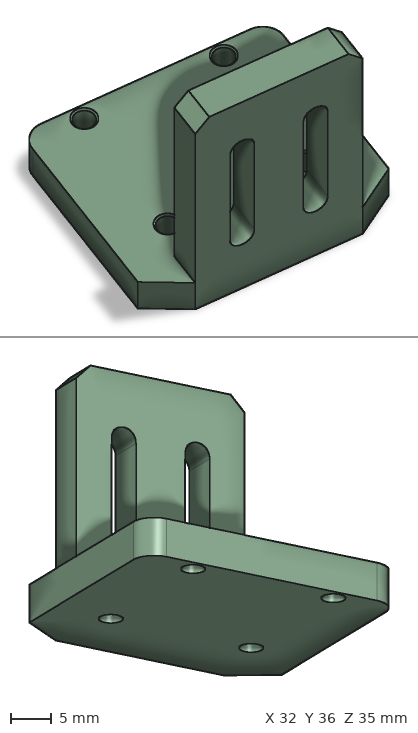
import cadquery as cq

base_length = 32.0
base_width = 36.0
thickness = 5.0
corner_radius = 3.0
corner_cut_x = 3.75

total_height = 35.0
wall_width = 24.0
wall_corner_chamfer = 2.0
corner_cut_y = (base_width - wall_width) / 2

hole_diameter = 3.0
hole_chamfer = 0.25
hole_edge_distance = 2.0
hole_pitch = 20.0

slot_width = 3.5
slot_length = 19.5
slot_spacing = 10.5
slot_center_z = 18.0


def make_base():
    """Plate with rounded left corners and bevelled right corners."""
    half_width = base_width / 2
    cut_start_x = base_length - corner_cut_x
    cut_end_y = half_width - corner_cut_y
    return (
        cq.Workplane("XY")
        .moveTo(0, -half_width)
        .lineTo(cut_start_x, -half_width)
        .lineTo(base_length, -cut_end_y)
        .lineTo(base_length, cut_end_y)
        .lineTo(cut_start_x, half_width)
        .lineTo(0, half_width)
        .close()
        .extrude(thickness)
        .edges("|Z and <X")
        .fillet(corner_radius)
    )


def make_wall():
    """Upright plate with chamfered top corners."""
    return (
        cq.Workplane("XY")
        .box(thickness, wall_width, total_height, centered=(False, True, False))
        .translate((base_length - thickness, 0, 0))
        .edges("|X and >Z")
        .chamfer(wall_corner_chamfer)
    )


def make_holes():
    """Square pattern of through holes with a small chamfer at the upper rim."""
    hole_radius = hole_diameter / 2
    rim_radius = hole_radius + hole_chamfer
    profile = (
        cq.Workplane("XZ")
        .lineTo(hole_radius, 0)
        .lineTo(hole_radius, thickness - hole_chamfer)
        .lineTo(rim_radius, thickness)
        .lineTo(0, thickness)
        .close()
    )
    hole = profile.revolve(360, (0, 0, 0), (0, 1, 0)).val()
    pattern_center_x = hole_edge_distance + hole_pitch / 2
    return (
        cq.Workplane("XY")
        .center(pattern_center_x, 0)
        .rarray(hole_pitch, hole_pitch, 2, 2)
        .eachpoint(lambda location: hole.moved(location))
    )


def make_slots():
    """Pair of round-ended slots running through the wall."""
    return (
        cq.Workplane("YZ", origin=(base_length - thickness, 0, slot_center_z))
        .rarray(slot_spacing, 0.35, 2, 1)
        .slot2D(slot_length, slot_width, 90)
        .extrude(thickness)
    )


result = make_base().union(make_wall()).cut(make_holes()).cut(make_slots())